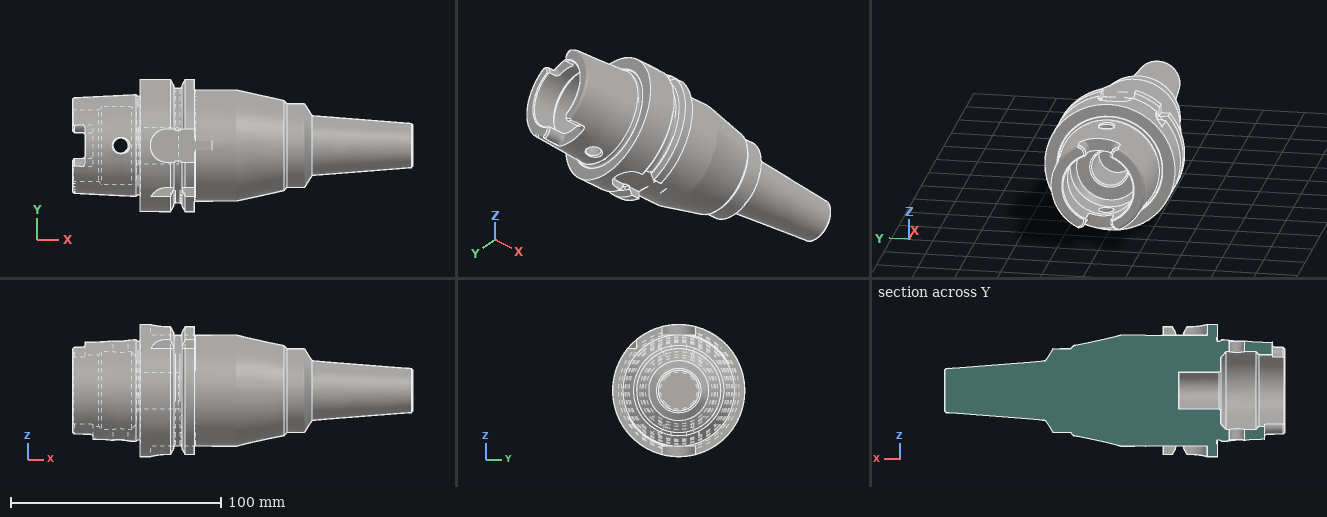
import cadquery as cq
import math


shank_length = 32.0
shank_end_radius = 22.75
shank_slope = 0.05
shank_end_round = 1.2
relief_start = -1.8
relief_radius = 23.6
relief_depth = 0.4
relief_face_radius = 25.6
relief_round = 0.5

flange_radius = 31.5
flange_width = 26.0
groove_center = 18.1
groove_mouth_width = 7.0
groove_radius = 27.4
groove_flank_angle = 30.0
groove_root_width = 3.8
groove_root_round = 0.9

body_radius = 26.5
body_end = 46.0
body_root_round = 0.5
body_cone_end = 68.6
body_cone_end_radius = 21.5
collar_start = 70.0
collar_radius = 20.0
collar_end = 78.4
collar_edge_round = 0.9
nose_start = 82.0
nose_end = 130.0
nose_tip_radius = 10.5
nose_angle = 4.5
nose_tip_chamfer = 0.8

bore_radius = 17.0
bore_mouth_chamfer = 0.5
shoulder_x = -19.6
undercut_radius = 18.5
undercut_end = -4.0
bore_floor_x = -1.5
bore_floor_radius = 15.85
pilot_radius = 8.7
pilot_chamfer = 0.8
pilot_depth = 20.0

drive_width = 12.2
drive_depth_top = 6.0
drive_depth_bottom = 9.7
drive_floor_round = 1.5
drive_edge_chamfer = 0.9
drive_lip_round = 3.8
drive_lip_height = 20.7

access_x = -9.1
access_radius = 3.6
access_chamfer = 0.6

key_width = 16.0
key_center_x = 13.0
key_floor = 26.41
key_tail_end = 34.3
notch_center_x = 12.5
notch_wall_y = -20.0
notch_floor_z = 20.0

clearance = 40.0
selector_margin = 0.05


def shank_radius(x):
    return shank_end_radius + shank_slope * (x + shank_length)


def turned_body():
    mouth = groove_mouth_width / 2
    root = groove_root_width / 2
    flank_depth = (mouth - root) / math.tan(math.radians(groove_flank_angle))
    flank_foot_radius = flange_radius - flank_depth
    relief_foot = relief_start + shank_radius(relief_start) - relief_radius
    nose_root_radius = nose_tip_radius + (nose_end - nose_start) * math.tan(math.radians(nose_angle))
    arc_offset = body_root_round * (1 - math.sqrt(0.5))
    outline = (
        cq.Workplane("XY")
        .moveTo(-shank_length, 0)
        .lineTo(-shank_length, shank_end_radius)
        .lineTo(relief_start, shank_radius(relief_start))
        .lineTo(relief_foot, relief_radius)
        .lineTo(relief_depth, relief_radius)
        .lineTo(relief_depth, relief_face_radius - relief_depth)
        .lineTo(0, relief_face_radius)
        .lineTo(0, flange_radius)
        .lineTo(groove_center - mouth, flange_radius)
        .lineTo(groove_center - root, flank_foot_radius)
        .lineTo(groove_center - root, groove_radius)
        .lineTo(groove_center + root, groove_radius)
        .lineTo(groove_center + root, flank_foot_radius)
        .lineTo(groove_center + mouth, flange_radius)
        .lineTo(flange_width, flange_radius)
        .lineTo(flange_width, body_radius + body_root_round)
        .threePointArc(
            (flange_width + arc_offset, body_radius + arc_offset),
            (flange_width + body_root_round, body_radius),
        )
        .lineTo(body_end, body_radius)
        .lineTo(body_cone_end, body_cone_end_radius)
        .lineTo(collar_start, collar_radius)
        .lineTo(collar_end, collar_radius)
        .lineTo(nose_start, nose_root_radius)
        .lineTo(nose_end, nose_tip_radius)
        .lineTo(nose_end, 0)
        .close()
    )
    body = outline.revolve(360, (0, 0, 0), (1, 0, 0))
    body = body.edges(ring_at(-shank_length, shank_end_radius)).fillet(shank_end_round)
    for side in (-1, 1):
        corner = ring_at(groove_center + side * root, groove_radius)
        body = body.edges(corner).fillet(groove_root_round)
    for corner_x in (relief_foot, relief_depth):
        body = body.edges(ring_at(corner_x, relief_radius)).fillet(relief_round)
    body = body.edges(ring_at(collar_end, collar_radius)).fillet(collar_edge_round)
    return body.edges(ring_at(nose_end, nose_tip_radius)).chamfer(nose_tip_chamfer)


def ring_at(x, radius):
    """Selector for the turned edge at one axial position and radius."""
    margin = selector_margin
    reach = radius + margin
    return cq.selectors.BoxSelector(
        (x - margin, -reach, -reach), (x + margin, reach, reach), boundingbox=True
    )


def clamping_bore():
    undercut_step = undercut_radius - bore_radius
    pilot_end = bore_floor_x + pilot_depth
    points = [
        (-shank_length, 0),
        (-shank_length, bore_radius + bore_mouth_chamfer),
        (-shank_length + bore_mouth_chamfer, bore_radius),
        (shoulder_x, bore_radius),
        (shoulder_x + undercut_step, undercut_radius),
        (undercut_end, undercut_radius),
        (bore_floor_x, bore_floor_radius),
        (bore_floor_x, pilot_radius + pilot_chamfer),
        (bore_floor_x + pilot_chamfer, pilot_radius),
        (pilot_end, pilot_radius),
        (pilot_end, 0),
    ]
    return cq.Workplane("XY").polyline(points).close().revolve(360, (0, 0, 0), (1, 0, 0))


def drive_outline(section, spread):
    """Slot section on a plane across X, flaring over round lips; spread offsets it outward."""
    half = drive_width / 2 + spread
    lip = drive_lip_round - spread
    top = drive_lip_height - spread
    diagonal = lip * math.sqrt(0.5)
    return (
        section.moveTo(-half, 0)
        .lineTo(-half, top - lip)
        .threePointArc((-half - lip + diagonal, top - lip + diagonal), (-half - lip, top))
        .lineTo(-half - lip, clearance)
        .lineTo(half + lip, clearance)
        .lineTo(half + lip, top)
        .threePointArc((half + lip - diagonal, top - lip + diagonal), (half, top - lip))
        .lineTo(half, 0)
        .close()
    )


def drive_slot(depth):
    """Slot open at the shank end on the +Z side, with a bevelled mouth."""
    end_plane = cq.Workplane("YZ", origin=(-shank_length, 0, 0))
    slot = drive_outline(end_plane, 0).extrude(depth)
    lip_reach = drive_width / 2 + drive_lip_round
    inner_corners = cq.selectors.BoxSelector(
        (-shank_length, -lip_reach, 0), (0, lip_reach, drive_lip_height)
    )
    walls = slot.faces(">X").edges("|Z").edges(inner_corners)
    slot = walls.fillet(drive_floor_round)
    mouth = drive_outline(end_plane, drive_edge_chamfer).workplane(offset=drive_edge_chamfer)
    return slot.union(drive_outline(mouth, 0).loft(ruled=True))


def access_hole():
    """Hole across the whole shank along Z, countersunk at both outer ends."""
    rim = shank_radius(access_x)
    start = cq.Workplane("XY", origin=(access_x, 0, -clearance))
    hole = start.circle(access_radius).extrude(2 * clearance)
    for side in (-1, 1):
        sink = cq.Solid.makeCone(
            access_radius,
            access_radius + 2 * access_chamfer,
            2 * access_chamfer,
            cq.Vector(access_x, 0, side * (rim - access_chamfer)),
            cq.Vector(0, 0, side),
        )
        hole = hole.union(cq.Workplane(sink))
    return hole


def round_ended_cutter(center_x, center_y, floor_z, end_x):
    """Slot along X with a round -X end, cut downward to floor_z."""
    radius = key_width / 2
    return (
        cq.Workplane("XY", origin=(center_x, center_y, floor_z))
        .moveTo(0, radius)
        .threePointArc((-radius, 0), (0, -radius))
        .lineTo(end_x - center_x, -radius)
        .lineTo(end_x - center_x, radius)
        .close()
        .extrude(clearance)
    )


def flipped(cutter):
    return cutter.rotate((0, 0, 0), (1, 0, 0), 180)


keyway = round_ended_cutter(key_center_x, 0, key_floor, key_tail_end)
notch = round_ended_cutter(notch_center_x, notch_wall_y - key_width / 2, notch_floor_z, flange_width)

result = turned_body()
result = result.cut(clamping_bore())
result = result.cut(drive_slot(drive_depth_top))
result = result.cut(flipped(drive_slot(drive_depth_bottom)))
result = result.cut(access_hole())
result = result.cut(keyway)
result = result.cut(flipped(keyway))
result = result.cut(notch)